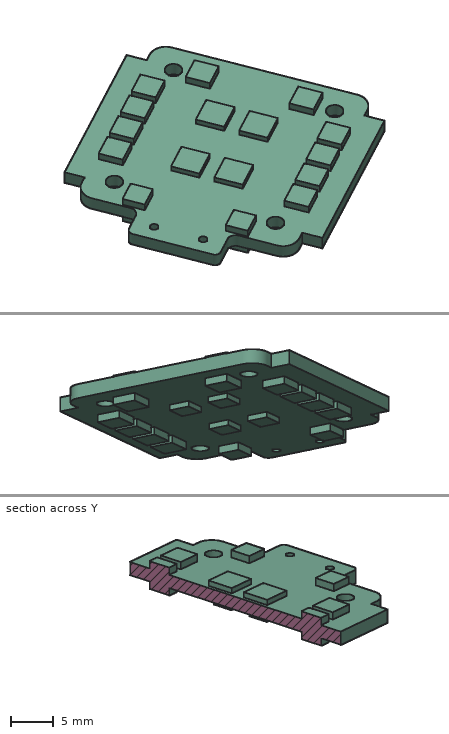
import cadquery as cq

overall_width = 32.0
total_thickness = 3.6
board_thickness = 1.73

board_side = 27.0
board_corner_radius = 2.0
strip_length = 21.0
mount_spacing = 20.0
mount_diameter = 2.05

tab_width = 11.4
tab_length = 4.0
tab_corner_radius = 0.7
tab_root_radius = 1.0
lead_hole_spacing = 6.08
lead_hole_diameter = 1.0
lead_hole_edge_distance = 2.0
lead_pad_gap = 1.0
lead_pad_chamfer = 1.0

edge_pad_count = 6

chip_size = 3.0
side_chip_count = 4
side_chip_pitch = 3.7
side_chip_x = 11.52
rear_chip_x = 6.43
rear_chip_y = mount_spacing / 2
front_chip_size = 2.75
front_chip_x = 6.4
front_chip_y = -11.9

driver_x = 2.7
driver_y = 4.2
driver_height = 0.67
top_driver_size = 3.52
bottom_driver_size = 2.65

board_top = board_thickness / 2
chip_height = (total_thickness - board_thickness) / 2
board_front_y = -board_side / 2
tab_front_y = board_front_y - tab_length
edge_pad_size = (overall_width - board_side) / 2
edge_pad_x = (overall_width - edge_pad_size) / 2
edge_pad_pitch = (strip_length - edge_pad_size) / (edge_pad_count - 1)
lead_hole_y = tab_front_y + lead_hole_edge_distance


def row(count, pitch):
    """Positions of evenly pitched items, centred on zero."""
    return [(i - (count - 1) / 2) * pitch for i in range(count)]


def mirrored_in_x(x, y_positions):
    """Points at +x and -x for every y position."""
    return [(side * x, y) for side in (-1, 1) for y in y_positions]


def slab(width, length):
    """Board-thick rectangular plate centred on the origin."""
    return cq.Workplane("XY").box(width, length, board_thickness)


def make_board():
    """Rounded board with a strip along each side and a connector tab at the front."""
    body = slab(board_side, board_side).edges("|Z").fillet(board_corner_radius)

    tab_overlap = board_corner_radius
    tab_center_y = (tab_front_y + board_front_y + tab_overlap) / 2
    tab = (
        slab(tab_width, tab_length + tab_overlap)
        .translate((0, tab_center_y, 0))
        .edges("|Z and <Y")
        .fillet(tab_corner_radius)
    )
    board = body.union(tab)
    margin = tab_root_radius
    tab_roots = cq.selectors.BoxSelector(
        (-tab_width / 2 - margin, board_front_y - margin, -board_thickness),
        (tab_width / 2 + margin, board_front_y + margin, board_thickness),
    )
    board = board.edges("|Z").edges(tab_roots).fillet(tab_root_radius)
    return board.union(slab(overall_width, strip_length))


def make_edge_pads():
    """Square solder pads, flush with the board, along both side strips."""
    points = mirrored_in_x(edge_pad_x, row(edge_pad_count, edge_pad_pitch))
    return (
        cq.Workplane("XY", origin=(0, 0, -board_top))
        .pushPoints(points)
        .rect(edge_pad_size, edge_pad_size)
        .extrude(board_thickness)
    )


def make_lead_pad():
    """Solder pad, flush with the board, on the +X half of the tab."""
    pad_width = (tab_width - lead_pad_gap) / 2
    pad_center = ((tab_width + lead_pad_gap) / 4, (board_front_y + tab_front_y) / 2, 0)
    return (
        slab(pad_width, tab_length)
        .edges("|Z and >X and >Y")
        .chamfer(lead_pad_chamfer)
        .edges("|Z and >X and <Y")
        .fillet(tab_corner_radius)
        .translate(pad_center)
    )


def make_packages(points, size, height):
    """Square packages standing on the top face of the board."""
    return (
        cq.Workplane("XY", origin=(0, 0, board_top))
        .pushPoints(points)
        .rect(size, size)
        .extrude(height)
    )


def make_chips():
    """All the tall chips of one board face."""
    side_points = mirrored_in_x(side_chip_x, row(side_chip_count, side_chip_pitch))
    rear_points = mirrored_in_x(rear_chip_x, [rear_chip_y])
    front_points = mirrored_in_x(front_chip_x, [front_chip_y])
    chips = make_packages(side_points + rear_points, chip_size, chip_height)
    return chips.add(make_packages(front_points, front_chip_size, chip_height)).combine()


def make_holes():
    """Cutters for the mounting holes and the lead holes in the tab."""
    mount_points = mirrored_in_x(mount_spacing / 2, row(2, mount_spacing))
    lead_points = mirrored_in_x(lead_hole_spacing / 2, [lead_hole_y])
    base = cq.Workplane("XY", origin=(0, 0, -board_top))
    mounts = base.pushPoints(mount_points).circle(mount_diameter / 2).extrude(board_thickness)
    leads = base.pushPoints(lead_points).circle(lead_hole_diameter / 2).extrude(board_thickness)
    return mounts.add(leads).combine()


chips = make_chips()
driver_points = mirrored_in_x(driver_x, [-driver_y, driver_y])
top_drivers = make_packages(driver_points, top_driver_size, driver_height)
bottom_drivers = make_packages(driver_points, bottom_driver_size, driver_height).mirror("XY")

result = make_board()
for packages in (chips, chips.mirror("XY"), top_drivers, bottom_drivers):
    result = result.union(packages)

lead_pad = make_lead_pad()
for pads in (make_edge_pads(), lead_pad, lead_pad.mirror("YZ")):
    result = result.union(pads, clean=False)
result = result.cut(make_holes(), clean=False)